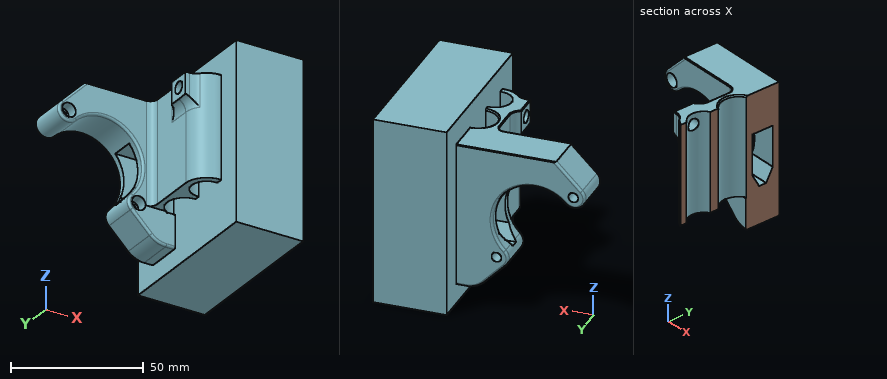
import cadquery as cq
import math


block_thickness = 29.85
block_width = 70.0
block_height = 77.7
margin = 10.0

arm_width = 16.8
arm_height = 59.7
arm_reach = 52.15
eye_radius = 4.75
eye_distance = 22.0
eye_1_drop = 13.8
eye_hole_diameter = 3.9
eye_counterbore_diameter = 6.0
eye_counterbore_depth = 5.0
heel_radius = 10.0
arm_edge_radius = 1.0

slot_width = 9.8
slot_floor_width = 3.3
slot_taper_height = 5.9
slot_floor_drop = 42.5
slot_top_drop = 18.45

tube_height = 45.0
wall_reach = 10.0
wall_root_radius = 3.0
tube_radius = 9.4
tube_y = 20.1
small_bore_radius = 6.6
big_bore_radius = 7.7
big_bore_y = 36.7
big_bore_chamfer = 0.6
big_bore_extra_depth = 0.3
top_chamfer = 0.3

boss_width = 9.4
boss_height = 9.6
boss_reach = 13.0
boss_root_radius = 5.0
boss_hole_diameter = 5.1
boss_hole_drop = 5.0

tolerance = 0.01

top_z = block_height - margin
arm_bottom_z = top_z - arm_height
arm_far_y = block_width - margin
arm_near_y = arm_far_y - arm_width
arm_middle_y = arm_far_y - arm_width / 2
tube_bottom_z = top_z - tube_height
tube_x = tube_radius - wall_reach
boss_bottom_z = top_z - boss_height
wall_root_x = -wall_reach - wall_root_radius

eye_offset = eye_distance / math.sqrt(2)
eye_1 = (eye_radius - arm_reach, top_z - eye_1_drop)
opening = (eye_1[0] + eye_offset, eye_1[1] - eye_offset)
eye_2 = (opening[0] + eye_offset, opening[1] - eye_offset)
opening_radius = eye_distance - eye_radius


def polar(center, radius, degrees):
    """Point on a circle, at an angle from its first axis."""
    angle = math.radians(degrees)
    return (center[0] + radius * math.cos(angle), center[1] + radius * math.sin(angle))


def cylinder(radius, length, start, direction):
    solid = cq.Solid.makeCylinder(radius, length, cq.Vector(*start), cq.Vector(*direction))
    return cq.Workplane(obj=solid)


def make_block():
    return cq.Workplane("XY").box(block_thickness, block_width, block_height, centered=False)


def make_arm():
    slope_end = polar(eye_1, eye_radius, 135)
    slope_top_x = slope_end[0] + top_z - slope_end[1]
    underside_start = polar(eye_2, eye_radius, 225)
    heel_corner_x = underside_start[0] + underside_start[1] - arm_bottom_z
    heel_setback = heel_radius * math.tan(math.radians(22.5))
    heel = (heel_corner_x + heel_setback, arm_bottom_z + heel_radius)
    return (
        cq.Workplane("XZ", origin=(0, arm_far_y, 0))
        .moveTo(0, top_z)
        .lineTo(slope_top_x, top_z)
        .lineTo(*slope_end)
        .threePointArc(polar(eye_1, eye_radius, 225), polar(eye_1, eye_radius, 315))
        .threePointArc(polar(opening, opening_radius, 45), polar(opening, opening_radius, 315))
        .threePointArc(polar(eye_2, eye_radius, 180), underside_start)
        .lineTo(*polar(heel, heel_radius, 225))
        .threePointArc(polar(heel, heel_radius, 247.5), polar(heel, heel_radius, 270))
        .lineTo(0, arm_bottom_z)
        .close()
        .extrude(arm_width)
    )


def make_tube_section():
    tube_end_y = tube_y - math.sqrt(tube_radius ** 2 - tube_x ** 2)
    root = (wall_root_x, arm_near_y - wall_root_radius)
    return (
        cq.Workplane("XY", origin=(0, 0, tube_bottom_z))
        .moveTo(0, arm_near_y)
        .lineTo(wall_root_x, arm_near_y)
        .threePointArc(polar(root, wall_root_radius, 45), polar(root, wall_root_radius, 0))
        .lineTo(-wall_reach, tube_y)
        .threePointArc(polar((tube_x, tube_y), tube_radius, 225), (0, tube_end_y))
        .close()
        .extrude(tube_height)
    )


def is_boss_root(edge):
    box = edge.BoundingBox()
    on_wall = box.xmin > -wall_reach - tolerance and box.xmax < -tolerance
    within_width = abs(edge.Center().y - tube_y) < boss_width / 2 + tolerance
    within_height = boss_bottom_z - tolerance < box.zmin < top_z - tolerance
    return on_wall and within_width and within_height


def add_screw_boss(section):
    long_reach = wall_reach + 2 * boss_root_radius
    boss = (
        cq.Workplane("XY", origin=(-long_reach, tube_y, boss_bottom_z))
        .box(long_reach + tube_x, boss_width, boss_height, centered=(False, True, False))
    )
    joined = section.union(boss)
    root_edges = [edge for edge in joined.edges().vals() if is_boss_root(edge)]
    joined = joined.newObject(root_edges).fillet(boss_root_radius)
    trim_width = boss_width + 2 * boss_root_radius
    trim = (
        cq.Workplane("XY", origin=(-boss_reach - long_reach, tube_y, tube_bottom_z))
        .box(long_reach, trim_width, tube_height, centered=(False, True, False))
    )
    return joined.cut(trim)


def is_top_rim(edge):
    box = edge.BoundingBox()
    on_top = box.zmin > top_z - tolerance
    at_block = box.xmin > -tolerance
    across_arm = box.ymin < arm_middle_y < box.ymax
    return on_top and not at_block and not across_arm


def chamfer_top(bracket):
    rim = [edge for edge in bracket.edges().vals() if is_top_rim(edge)]
    return bracket.newObject(rim).chamfer(top_chamfer)


def is_arm_outline(edge):
    box = edge.BoundingBox()
    on_near_side = abs(box.ymin - arm_near_y) + abs(box.ymax - arm_near_y) < tolerance
    on_far_side = abs(box.ymin - arm_far_y) + abs(box.ymax - arm_far_y) < tolerance
    below_top = edge.Center().z < top_z - 2 * top_chamfer
    at_block = box.xmin > -tolerance
    at_tube = box.xmin > wall_root_x - tolerance and box.zmax > tube_bottom_z - tolerance
    return (on_near_side or on_far_side) and below_top and not at_block and not at_tube


def round_arm(bracket):
    outline = [edge for edge in bracket.edges().vals() if is_arm_outline(edge)]
    return bracket.newObject(outline).fillet(arm_edge_radius)


def cut_tube_bores(bracket):
    up = (0, 0, 1)
    small_bore = cylinder(small_bore_radius, tube_height, (tube_x, tube_y, tube_bottom_z), up)
    big_bore_bottom = tube_bottom_z - big_bore_extra_depth
    big_bore = cylinder(big_bore_radius, top_z - big_bore_bottom, (0, big_bore_y, big_bore_bottom), up)
    mouth = cq.Solid.makeCone(
        big_bore_radius,
        big_bore_radius + big_bore_chamfer,
        big_bore_chamfer,
        cq.Vector(0, big_bore_y, top_z - big_bore_chamfer),
    )
    return bracket.cut(small_bore).cut(big_bore).cut(cq.Workplane(obj=mouth))


def cut_boss_hole(bracket):
    start = (-boss_reach, tube_y, top_z - boss_hole_drop)
    return bracket.cut(cylinder(boss_hole_diameter / 2, boss_reach + tube_x, start, (1, 0, 0)))


def cut_eye_holes(bracket):
    for x, z in (eye_1, eye_2):
        start = (x, arm_near_y, z)
        across = (0, 1, 0)
        hole = cylinder(eye_hole_diameter / 2, arm_width, start, across)
        counterbore = cylinder(eye_counterbore_diameter / 2, eye_counterbore_depth, start, across)
        bracket = bracket.cut(hole).cut(counterbore)
    return bracket


def cut_slot(bracket):
    floor_z = top_z - slot_floor_drop
    taper_top_z = floor_z + slot_taper_height
    slot_top_z = top_z - slot_top_drop
    slot = (
        cq.Workplane("YZ", origin=(0, arm_middle_y, 0))
        .moveTo(-slot_floor_width / 2, floor_z)
        .lineTo(slot_floor_width / 2, floor_z)
        .lineTo(slot_width / 2, taper_top_z)
        .lineTo(slot_width / 2, slot_top_z)
        .lineTo(-slot_width / 2, slot_top_z)
        .lineTo(-slot_width / 2, taper_top_z)
        .close()
        .extrude(opening[0])
    )
    return bracket.cut(slot)


def make_bracket():
    bracket = make_arm().union(add_screw_boss(make_tube_section()))
    bracket = chamfer_top(bracket)
    bracket = round_arm(bracket)
    bracket = cut_tube_bores(bracket)
    bracket = cut_boss_hole(bracket)
    bracket = cut_eye_holes(bracket)
    return cut_slot(bracket)


block = make_block()
bracket = make_bracket()

result = cq.Compound.makeCompound([*block.vals(), *bracket.solids().vals()])